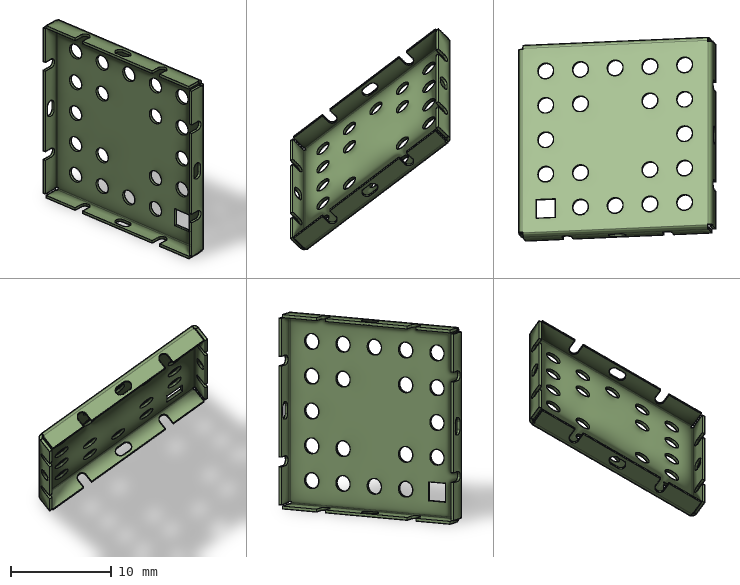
import cadquery as cq

side = 19.66
depth = 2.0
sheet = 0.3
inner_bend_radius = 0.1
outer_bend_radius = inner_bend_radius + sheet
panel_side = side - 2 * outer_bend_radius
corner_relief = 0.08

back_y = depth / 2
open_y = -depth / 2

grid_count = 5
grid_pitch = 3.52
hole_diameter = 1.6
square_hole_side = 1.9

slot_width = 0.98
notch_offset = 5.1
notch_depth = 1.4
window_length = 1.77
window_from_open_edge = 0.83
cut_start_x = side / 2 - outer_bend_radius

QUARTER_TURNS = (0, 90, 180, 270)


def blank_panel():
    """Flat square sheet whose edges are the bend lines."""
    return cq.Workplane("XY").box(panel_side, sheet, panel_side).translate((0, back_y - sheet / 2, 0))


def blank_flange():
    """Quarter-round bend and straight wall on the +X side, as long as the panel edge."""
    bend_x = panel_side / 2
    bend_y = back_y - outer_bend_radius
    return (
        cq.Workplane("XY", origin=(0, 0, -panel_side / 2))
        .moveTo(bend_x, back_y)
        .radiusArc((side / 2, bend_y), outer_bend_radius)
        .lineTo(side / 2, open_y)
        .lineTo(side / 2 - sheet, open_y)
        .lineTo(side / 2 - sheet, bend_y)
        .radiusArc((bend_x, back_y - sheet), -inner_bend_radius)
        .close()
        .extrude(panel_side)
    )


def notch_cutter(z):
    """Round-ended notch running in from the open edge of the +X flange."""
    round_y = open_y + notch_depth - slot_width / 2
    return (
        cq.Workplane("YZ", origin=(cut_start_x, 0, 0))
        .moveTo(open_y, z - slot_width / 2)
        .lineTo(round_y, z - slot_width / 2)
        .threePointArc((open_y + notch_depth, z), (round_y, z + slot_width / 2))
        .lineTo(open_y, z + slot_width / 2)
        .close()
        .extrude(outer_bend_radius)
    )


def window_cutter():
    """Obround window at the middle of the +X flange."""
    return (
        cq.Workplane("YZ", origin=(cut_start_x, 0, 0))
        .center(open_y + window_from_open_edge, 0)
        .slot2D(window_length, slot_width, 90)
        .extrude(outer_bend_radius)
    )


def flange():
    """Flange on the +X side with two notches and a central window."""
    body = blank_flange().cut(window_cutter())
    for z in (-notch_offset, notch_offset):
        body = body.cut(notch_cutter(z))
    return body


def round_hole_centers():
    """Grid positions, leaving out a plus at the center and the square-hole corner."""
    last = grid_count // 2
    steps = range(-last, last + 1)
    return [
        (column * grid_pitch, row * grid_pitch)
        for column in steps
        for row in steps
        if abs(column) + abs(row) > 1 and (column, row) != (last, -last)
    ]


def perforated_panel():
    """Panel with the round holes and the square hole in the +X, -Z corner."""
    plane = cq.Workplane("XZ", origin=(0, back_y, 0))
    corner = (grid_count // 2) * grid_pitch
    round_holes = plane.pushPoints(round_hole_centers()).circle(hole_diameter / 2).extrude(sheet)
    square_hole = plane.center(corner, -corner).rect(square_hole_side, square_hole_side).extrude(sheet)
    return blank_panel().cut(round_holes).cut(square_hole)


def corner_relief_cutter():
    """Square relief at the +X, +Z corner: nicks the panel corner and the adjoining bend ends."""
    reach = outer_bend_radius + corner_relief
    return cq.Workplane("XY").box(reach, reach, reach, centered=False).translate(
        (side / 2 - reach, back_y - reach, side / 2 - reach)
    )


tray = perforated_panel()
for angle in QUARTER_TURNS:
    tray = tray.union(flange().rotate((0, 0, 0), (0, 1, 0), angle))
for angle in QUARTER_TURNS:
    tray = tray.cut(corner_relief_cutter().rotate((0, 0, 0), (0, 1, 0), angle))

result = tray